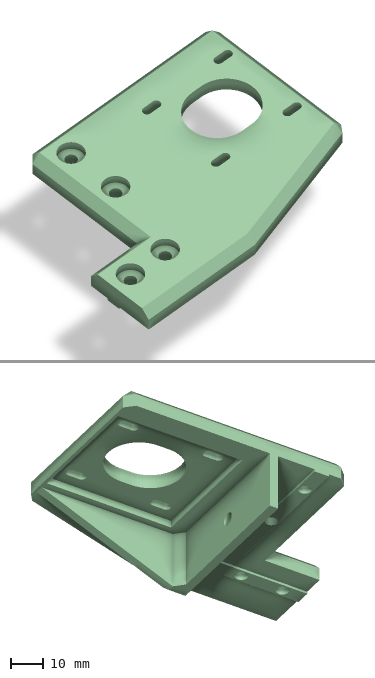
import cadquery as cq
import math

width = 76.0
length = 101.0
height = 27.5
plate_thickness = 7.5
notch_width = 50.0
notch_length = 20.0
side_length = 46.0
back_width = 60.0
bevel = 3.0

motor_x = 29.0
motor_y = 77.1
slot_travel = 4.0
motor_bore = 22.5
motor_screw_spacing = 31.0
motor_slot_width = 3.1
motor_pocket_width = 42.4
motor_pocket_length = 45.5
motor_floor_thickness = 4.9

row_y = 30.0
row_xs = (10.0, 30.0)
column_x = 60.0
column_ys = (7.5, 22.5)
screw_diameter = 4.2
head_diameter = 9.2
head_depth = 3.0

key_width = 5.3
key_height = 0.8
column_key_length = 40.0

wall_width = 56.0
wall_front = side_length
wall_thickness = 3.0
wall_corner_bevel = 0.7
wall_hole_diameter = 4.5
wall_hole_x = 25.0
wall_hole_rise = 10.0
gusset_thickness = 3.0
gusset_back = 100.0
gusset_corner = 3.0

plate_bottom = -plate_thickness
wall_bottom = -height
wall_back = wall_front + wall_thickness


def block(x0, x1, y0, y1, z0, z1):
    return cq.Workplane("XY").box(x1 - x0, y1 - y0, z1 - z0, centered=False).translate((x0, y0, z0))


def corner_cutter(x, y, inward_angle, corner_angle):
    """Solid that bevels an upright corner and slopes in to where the two rim bevels meet on top."""
    half_angle = math.radians(corner_angle / 2)
    setback = bevel / math.tan(half_angle)
    foot = setback * math.cos(half_angle)
    apex = bevel / math.sin(half_angle)
    reach = 2 * bevel
    direction = math.radians(inward_angle)
    inward = (math.cos(direction), math.sin(direction), 0)
    along = (math.sin(direction), -math.cos(direction), 0)
    section = cq.Workplane(cq.Plane(origin=(x, y, 0), xDir=inward, normal=along))
    section = section.polyline(
        [(apex, 0), (foot, -bevel), (foot, plate_bottom), (-reach, plate_bottom), (-reach, 0)]
    )
    return section.close().extrude(reach, both=True)


def make_plate():
    outline = [
        (notch_width, 0),
        (width, 0),
        (width, side_length),
        (back_width, length),
        (0, length),
        (0, notch_length),
        (notch_width, notch_length),
    ]
    base = cq.Workplane("XY", origin=(0, 0, plate_bottom))
    plate = base.polyline(outline).close().extrude(plate_thickness)

    plate = plate.faces(">Z").edges("not <Y").chamfer(bevel)
    back_angle = 180 - math.degrees(math.atan2(length - side_length, width - back_width))
    plate = plate.cut(corner_cutter(0, notch_length, 45, 90))
    plate = plate.cut(corner_cutter(0, length, -45, 90))
    return plate.cut(corner_cutter(back_width, length, 180 + back_angle / 2, back_angle))


def make_keys():
    half = key_width / 2
    key_bottom = plate_bottom - key_height
    row_key = block(0, notch_width, row_y - half, row_y + half, key_bottom, plate_bottom)
    column_key = block(column_x - half, column_x + half, 0, column_key_length, key_bottom, plate_bottom)
    return row_key.union(column_key)


def make_wall():
    wall = block(0, wall_width, wall_front, wall_back, wall_bottom, plate_bottom)
    wall = wall.edges(">X and <Z").chamfer(wall_corner_bevel)
    hole = (
        cq.Workplane("XZ", origin=(wall_hole_x, wall_back, wall_bottom + wall_hole_rise))
        .circle(wall_hole_diameter / 2)
        .extrude(wall_thickness)
    )
    return wall.cut(hole)


def make_gusset():
    inner_x = wall_width - gusset_thickness
    corner_back = wall_back + gusset_corner
    gusset = (
        cq.Workplane("YZ", origin=(inner_x, 0, 0))
        .polyline(
            [
                (wall_back, plate_bottom),
                (wall_back, wall_bottom),
                (corner_back, wall_bottom),
                (gusset_back, plate_bottom),
            ]
        )
        .close()
        .extrude(gusset_thickness)
        .edges(">X and <Z")
        .chamfer(wall_corner_bevel)
    )
    web = (
        cq.Workplane("XY", origin=(0, 0, wall_bottom))
        .polyline([(inner_x, wall_back), (inner_x - gusset_corner, wall_back), (inner_x, corner_back)])
        .close()
        .extrude(plate_bottom - wall_bottom)
    )
    return gusset.union(web)


def cut_motor_openings(part):
    center = cq.Workplane("XY", origin=(motor_x, motor_y, plate_bottom))
    bore = center.slot2D(motor_bore + slot_travel, motor_bore, 90).extrude(plate_thickness)
    slots = (
        center.rect(motor_screw_spacing, motor_screw_spacing, forConstruction=True)
        .vertices()
        .slot2D(motor_slot_width + slot_travel, motor_slot_width, 90)
        .extrude(plate_thickness)
    )
    pocket_depth = plate_thickness - motor_floor_thickness
    pocket = center.rect(motor_pocket_width, motor_pocket_length).extrude(pocket_depth)
    return part.cut(bore).cut(slots).cut(pocket)


def cut_screw_holes(part):
    points = [(x, row_y) for x in row_xs] + [(column_x, y) for y in column_ys]
    holes = part.copyWorkplane(cq.Workplane("XY")).pushPoints(points)
    return holes.cboreHole(screw_diameter, head_diameter, head_depth)


body = make_plate().union(make_keys()).union(make_wall()).union(make_gusset())
result = cut_screw_holes(cut_motor_openings(body))